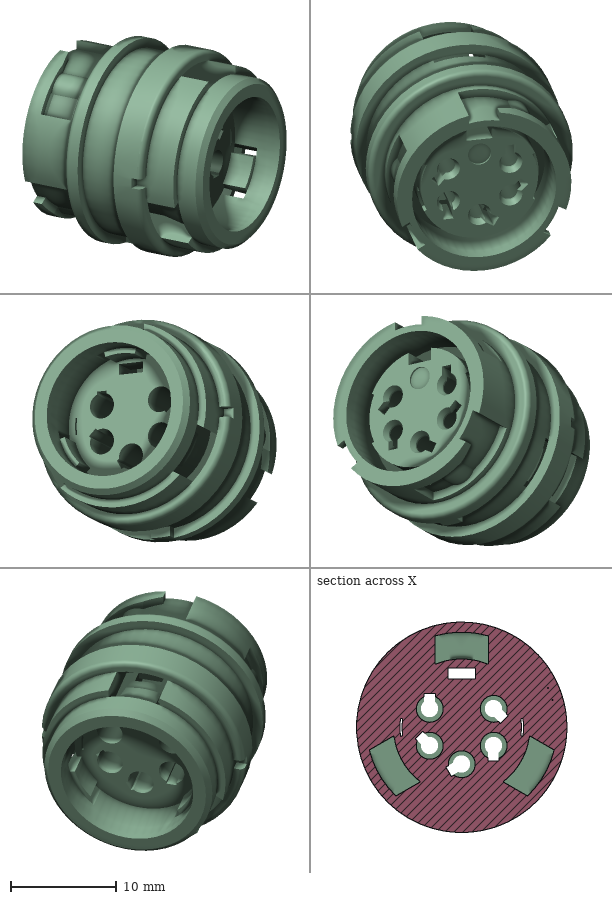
import cadquery as cq
import math


coupling_end_x = 5.55
flange_end_x = 7.0
nut_start_x = 11.0
nut_end_x = 14.0
body_end_x = 17.0
total_length = 19.5

coupling_diameter = 16.95
flange_diameter = 19.9
body_diameter = 18.0
nut_diameter = 20.0
tail_diameter = 16.5
edge_size = 0.5

socket_diameter = 14.0
socket_depth = 5.0
insert_diameter = 11.9
insert_front_x = 2.0
insert_back_x = 14.55
tail_bore_diameter = 13.0

bayonet_count = 3
bayonet_floor_radius = 7.65
bayonet_end_x = 4.8
entry_width = 3.0
ramp_start_x = 0.95
window_start_x = 1.45
window_end_angle = 61.9
ramp_end_offset = 3.35
bump_start_angle = 25.9
bump_end_angle = 45.1
bump_peak_radius = 8.05
ledge_size = 0.2

latch_count = 3
latch_window_width = 5.0
latch_window_start_x = 10.5
latch_start_x = 13.5
latch_half_angle = 14.8
latch_start_radius = 6.8
latch_end_radius = 7.48
latch_inner_radius = 6.0

notch_width = 1.0
notch_length = 1.0
key_width = 2.0
key_length = 0.9

contact_circle_radius = 3.5
contact_slot_directions = {30: 315, 150: 90, 210: 135, 270: 210, 330: 270}
cavity_mouth_diameter = 2.25
cavity_diameter = 1.65
cavity_mouth_depth = 0.6
cavity_lip_depth = 0.8
cavity_chamber_diameter = 2.5
contact_slot_width = 1.0
contact_slot_reach = 1.42
contact_slot_mouth_reach = 1.88
contact_slot_mouth_depth = 3.0

polarizing_width = 2.52
polarizing_floor_z = 4.58
polarizing_roof_z = 5.62
polarizing_extra_depth = 0.5
polarizing_opening_length = 1.5
side_recess_radius = 5.68
side_recess_half_angle = 25.0
side_recess_depth = 1.0
side_passage_half_angle = 8.2
side_passage_radius = 5.85
marking_recess_diameter = 2.25
marking_recess_z = 3.0
marking_recess_depth = 0.2

coupling_radius = coupling_diameter / 2
flange_radius = flange_diameter / 2
body_radius = body_diameter / 2
nut_radius = nut_diameter / 2
tail_radius = tail_diameter / 2
tail_bore_radius = tail_bore_diameter / 2
insert_radius = insert_diameter / 2
clearance = 0.4


def polar(radius, angle):
    """Point (y, z) at an angle measured from +Z toward -Y."""
    turn = math.radians(angle)
    return (-radius * math.sin(turn), radius * math.cos(turn))


def cylinder(x_start, x_end, radius, y=0.0, z=0.0):
    plane = cq.Workplane("YZ", origin=(x_start, y, z))
    return plane.circle(radius).extrude(x_end - x_start)


def box(x_range, y_range, z_range):
    sizes = [high - low for low, high in (x_range, y_range, z_range)]
    corner = (x_range[0], y_range[0], z_range[0])
    return cq.Workplane("XY").box(*sizes, centered=False).translate(corner)


def turn_about_axis(shape, angle):
    """Turn a shape about the X axis, from +Z toward -Y."""
    return shape.rotate((0, 0, 0), (1, 0, 0), angle)


def swept_sector(profile, start_angle, end_angle):
    """Sweep an (x, radius) profile about the X axis between two angles from +Z toward -Y."""
    sector = cq.Workplane("XY").polyline(profile).close()
    sector = sector.revolve(end_angle - start_angle, (0, 0, 0), (1, 0, 0))
    return turn_about_axis(sector, 90 + start_angle)


def make_body():
    coupling = cylinder(0, coupling_end_x, coupling_radius)
    flange = cylinder(coupling_end_x, flange_end_x, flange_radius).faces("<X").edges().fillet(edge_size)
    barrel = cylinder(flange_end_x, body_end_x, body_radius)
    tail = cylinder(body_end_x, total_length, tail_radius).faces(">X").edges().chamfer(edge_size)
    socket = cylinder(0, socket_depth, socket_diameter / 2)
    insert = cylinder(insert_front_x, socket_depth, insert_radius)
    tail_bore = cylinder(insert_back_x, total_length, tail_bore_radius)
    return coupling.union(flange).union(barrel).union(tail).cut(socket.cut(insert)).cut(tail_bore)


def make_bayonet_cutter():
    outer_radius = coupling_radius + clearance
    half_entry = entry_width / 2
    middle_angle = window_end_angle / 2
    bump_angle = (bump_start_angle + bump_end_angle) / 2
    last_floor_angle = (bump_end_angle + window_end_angle) / 2
    floor = bayonet_floor_radius

    window = (
        cq.Workplane("YZ", origin=(window_start_x, 0, 0))
        .moveTo(*polar(floor, 0))
        .threePointArc(polar(floor, bump_start_angle / 2), polar(floor, bump_start_angle))
        .threePointArc(polar(bump_peak_radius, bump_angle), polar(floor, bump_end_angle))
        .threePointArc(polar(floor, last_floor_angle), polar(floor, window_end_angle))
        .lineTo(*polar(outer_radius, window_end_angle))
        .threePointArc(polar(outer_radius, middle_angle), polar(outer_radius, 0))
        .close()
        .extrude(bayonet_end_x - window_start_x)
    )
    ledge_profile = [
        (window_start_x, floor),
        (window_start_x + ledge_size, floor),
        (window_start_x, floor + ledge_size),
    ]
    window = window.cut(swept_sector(ledge_profile, bump_end_angle, window_end_angle))

    entry_outline = [
        (0, half_entry),
        (bayonet_end_x, half_entry),
        (bayonet_end_x, -half_entry),
        (window_start_x, -half_entry),
        (window_start_x, -ramp_end_offset),
        (ramp_start_x, -half_entry),
        (0, -half_entry),
    ]
    entry = cq.Workplane("XY").polyline(entry_outline).close().extrude(outer_radius)
    entry = entry.cut(cylinder(0, bayonet_end_x, floor))
    return entry.union(window)


def cut_bayonet_slots(part):
    cutter = make_bayonet_cutter()
    for index in range(bayonet_count):
        part = part.cut(turn_about_axis(cutter, index * 360 / bayonet_count))
    return part


def cut_latch_windows(part):
    half_width = latch_window_width / 2
    opening = box(
        (latch_window_start_x, body_end_x), (-half_width, half_width), (0, body_radius + clearance)
    )
    opening = opening.cut(cylinder(latch_window_start_x, body_end_x, tail_bore_radius))
    for index in range(latch_count):
        part = part.cut(turn_about_axis(opening, index * 360 / latch_count))
    return part


def add_latches(part):
    profile = [
        (latch_start_x, latch_inner_radius),
        (body_end_x, latch_inner_radius),
        (body_end_x, latch_end_radius),
        (latch_start_x, latch_start_radius),
    ]
    latch = swept_sector(profile, -latch_half_angle, latch_half_angle)
    for index in range(latch_count):
        part = part.union(turn_about_axis(latch, index * 360 / latch_count))
    return part


def make_nut():
    nut = cylinder(nut_start_x, nut_end_x, nut_radius).faces(">X").edges().fillet(edge_size)
    nut = nut.cut(cylinder(nut_start_x, nut_end_x, body_radius))
    notch = box(
        (nut_end_x - notch_length, nut_end_x),
        (-nut_radius, nut_radius),
        (-notch_width / 2, notch_width / 2),
    )
    return nut.cut(notch)


def make_flange_key():
    key = box(
        (flange_end_x, flange_end_x + key_length),
        (-key_width / 2, key_width / 2),
        (-flange_radius, -body_radius + clearance),
    )
    return key.intersect(cylinder(flange_end_x, flange_end_x + key_length, flange_radius))


def make_contact_slot(reach, x_end, y, z, direction):
    slot = box(
        (insert_front_x, x_end), (0, reach), (-contact_slot_width / 2, contact_slot_width / 2)
    )
    return turn_about_axis(slot, direction).translate((0, y, z))


def cut_contacts(part):
    for position, direction in contact_slot_directions.items():
        y = contact_circle_radius * math.cos(math.radians(position))
        z = contact_circle_radius * math.sin(math.radians(position))
        bore = cylinder(insert_front_x, insert_back_x, cavity_diameter / 2, y, z)
        lip_end_x = insert_front_x + cavity_lip_depth
        chamber = cylinder(lip_end_x, insert_back_x, cavity_chamber_diameter / 2, y, z)
        mouth = (
            cq.Workplane("YZ", origin=(insert_front_x, y, z))
            .circle(cavity_mouth_diameter / 2)
            .workplane(offset=cavity_mouth_depth)
            .circle(cavity_diameter / 2)
            .loft()
        )
        slot = make_contact_slot(contact_slot_reach, insert_back_x, y, z, direction)
        slot_mouth_end = insert_front_x + contact_slot_mouth_depth
        slot_mouth = make_contact_slot(contact_slot_mouth_reach, slot_mouth_end, y, z, direction)
        part = part.cut(bore).cut(chamber).cut(mouth).cut(slot).cut(slot_mouth)
    return part


def cut_insert_recesses(part):
    half_groove = polarizing_width / 2
    groove_y = (-half_groove, half_groove)
    part = part.cut(box((insert_front_x, insert_back_x), groove_y, (polarizing_floor_z, polarizing_roof_z)))
    open_end_x = socket_depth + polarizing_extra_depth
    open_groove = box((insert_front_x, open_end_x), groove_y, (polarizing_floor_z, insert_radius))
    part = part.cut(open_groove.intersect(cylinder(insert_front_x, open_end_x, insert_radius)))
    opening_x = (latch_window_start_x, latch_window_start_x + polarizing_opening_length)
    part = part.cut(box(opening_x, groove_y, (polarizing_floor_z, tail_bore_radius)))

    recess_end_x = insert_front_x + side_recess_depth
    recess_profile = [
        (insert_front_x, side_recess_radius),
        (recess_end_x, side_recess_radius),
        (recess_end_x, insert_radius + clearance),
        (insert_front_x, insert_radius + clearance),
    ]
    passage_profile = [
        (insert_front_x, side_recess_radius),
        (insert_back_x, side_recess_radius),
        (insert_back_x, side_passage_radius),
        (insert_front_x, side_passage_radius),
    ]
    side_cuts = [(recess_profile, side_recess_half_angle), (passage_profile, side_passage_half_angle)]
    for side in (-90, 90):
        for profile, half_angle in side_cuts:
            part = part.cut(swept_sector(profile, side - half_angle, side + half_angle))

    marking_end_x = insert_front_x + marking_recess_depth
    return part.cut(
        cylinder(insert_front_x, marking_end_x, marking_recess_diameter / 2, 0, marking_recess_z)
    )


part = make_body()
part = cut_bayonet_slots(part)
part = cut_latch_windows(part)
part = cut_contacts(part)
part = cut_insert_recesses(part)
part = add_latches(part)
result = part.union(make_nut()).union(make_flange_key())